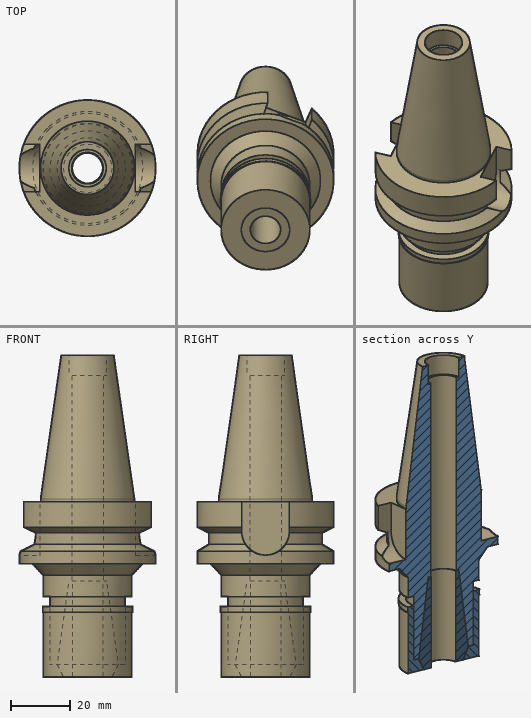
import cadquery as cq
import math

total_height = 108.4

taper_top_radius = 8.9
taper_base_radius = 15.8
taper_base_z = 60.0

flange_radius = 23.0
flange_top_z = 59.1
groove_upper_edge_z = 50.5
groove_floor_top_z = 48.6
groove_floor_bottom_z = 44.7
groove_lower_edge_z = 42.4
groove_floor_radius = 19.2
flange_bottom_z = 38.2
flange_cone_radius = 18.5

collar_radius = 15.0
collar_top_z = 34.4
collar_bottom_z = 27.1
nose_radius = 12.7
nose_bottom_z = 4.3

counterbore_radius = 6.3
counterbore_depth = 6.8
holder_bore_radius = 5.3

slot_width = 16.0
slot_floor_x = 16.0
slot_bottom_z = 41.1

nut_radius = collar_radius
nut_rim_radius = 15.2
nut_rim_bottom_z = 21.9
nut_top_z = 23.8

collet_bore_radius = 5.1
collet_front_radius = 8.1
collet_widest_radius = 10.3
collet_top_z = 32.5
collet_half_angle = 8.0
collet_taper_height = collet_top_z - nose_bottom_z
collet_top_radius = collet_widest_radius - collet_taper_height * math.tan(math.radians(collet_half_angle))


def revolve_profile(points):
    """Turn a closed (radius, z) outline about the Z axis."""
    return cq.Workplane("XZ").polyline(points).close().revolve(360, (0, 0, 0), (0, 1, 0))


def make_drive_slot(side):
    """Cutter for a vertical slot with a round bottom; side is +1 or -1 along X."""
    slot_radius = slot_width / 2
    arc_center_z = slot_bottom_z + slot_radius
    return (
        cq.Workplane("YZ", origin=(side * slot_floor_x, 0, 0))
        .moveTo(-slot_radius, flange_top_z)
        .lineTo(-slot_radius, arc_center_z)
        .threePointArc((0, slot_bottom_z), (slot_radius, arc_center_z))
        .lineTo(slot_radius, flange_top_z)
        .close()
        .extrude(side * (flange_radius - slot_floor_x))
    )


def make_holder():
    """Taper, grooved flange and nose, bored through with a socket for the collet."""
    counterbore_floor_z = total_height - counterbore_depth
    holder = revolve_profile([
        (counterbore_radius, total_height),
        (taper_top_radius, total_height),
        (taper_base_radius, taper_base_z),
        (taper_base_radius, flange_top_z),
        (flange_radius, flange_top_z),
        (flange_radius, groove_upper_edge_z),
        (groove_floor_radius, groove_floor_top_z),
        (groove_floor_radius, groove_floor_bottom_z),
        (flange_radius, groove_lower_edge_z),
        (flange_radius, flange_bottom_z),
        (flange_cone_radius, flange_bottom_z),
        (collar_radius, collar_top_z),
        (collar_radius, collar_bottom_z),
        (nose_radius, collar_bottom_z),
        (nose_radius, nose_bottom_z),
        (collet_widest_radius, nose_bottom_z),
        (collet_top_radius, collet_top_z),
        (holder_bore_radius, collet_top_z),
        (holder_bore_radius, counterbore_floor_z),
        (counterbore_radius, counterbore_floor_z),
    ])
    for side in (-1, 1):
        holder = holder.cut(make_drive_slot(side))
    return holder


def make_nut():
    """Cap around the nose with a rim at its top and a conical seat for the collet."""
    return revolve_profile([
        (collet_front_radius, 0),
        (nut_radius, 0),
        (nut_radius, nut_rim_bottom_z),
        (nut_rim_radius, nut_rim_bottom_z),
        (nut_rim_radius, nut_top_z),
        (nose_radius, nut_top_z),
        (nose_radius, nose_bottom_z),
        (collet_widest_radius, nose_bottom_z),
    ])


def make_collet():
    """Double-tapered sleeve clamped between the nut and the holder."""
    return revolve_profile([
        (collet_bore_radius, 0),
        (collet_front_radius, 0),
        (collet_widest_radius, nose_bottom_z),
        (collet_top_radius, collet_top_z),
        (collet_bore_radius, collet_top_z),
    ])


holder = make_holder()
nut = make_nut()
collet = make_collet()

result = cq.Compound.makeCompound([holder.val(), nut.val(), collet.val()])